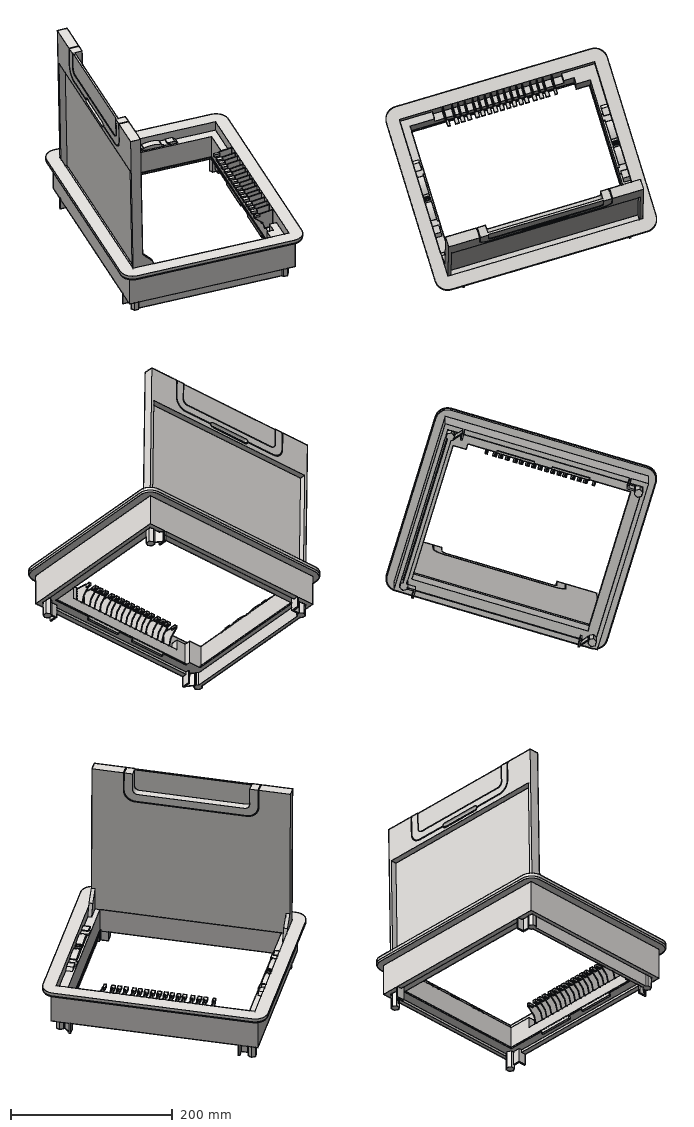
import cadquery as cq
import math


FLANGE_X = 286.0
FLANGE_Y = 241.0
FLANGE_THICK = 6.5
FLANGE_CORNER_R = 16.3
FLANGE_BEVEL_OUT = 1.1
FLANGE_BEVEL_UP = 2.3
BODY_X = 263.0
BODY_Y = 220.2
BODY_BOTTOM = -49.5
MOUTH_X = 252.5
MOUTH_BACK = 103.5
MOUTH_FRONT = -MOUTH_BACK
LEDGE_TOP = -13.0
LEDGE_BOTTOM = -45.8
WINDOW_X = 227.5
WINDOW_FRONT = -91.5
WINDOW_BACK = 92.7
LIP_OUT = 1.5
LIP_THICK = 2.3
CORNER_PAD_X = 97.0
CORNER_PAD_Y = 85.5
TAB_INNER_X = 11.5
TAB_OUTER_X = 60.0
TAB_DEPTH = 3.0

POCKET_X = 167.0
POCKET_FLOOR = -27.5
FIN_OFFSETS = (8.3, 16.3, 24.5, 32.0, 42.3, 51.0, 58.5)
END_FIN_OFFSET = 70.3
FIN_THICK = 1.1
FIN_TOP = -1.7
FIN_TIP_TOP = -4.0
FIN_ELBOW_Y = 90.5
FIN_ELBOW_Z = -19.0
FIN_TIP_Y = 79.2
PAD_LENGTH = 7.5
PAD_WIDTH = 5.0
END_PAD_WIDTH = 3.1
PAD_THICK = 3.5
PAD_TOP = -5.1
PAD_BOTTOM = PAD_TOP - PAD_THICK

CLIP_WIDTH = 8.5
CLIP_END_Y = 50.3
CLIP_BEVEL_Y = 46.0
CLIP_STEP_Y = 36.3
HUMP_OUTER_Y = 28.5
HUMP_INNER_Y = 5.1
CLIP_INNER_Y = 2.5
CLIP_TOP = -9.2
CLIP_STEP_TOP = -10.3
HUMP_TOP = -7.5
CLIP_RIB_Y = 0.5
NUB_WIDTH = 2.3
NUB_LENGTH = 8.3
NUB_Y = 35.2

POST_X = 121.8
POST_Y = 99.0
POST_DIAMETER = 11.0
LEFT_POST_DROP = 19.7
FOOT_DROP = 15.2
FOOT_BOTTOM = BODY_BOTTOM - FOOT_DROP
RAIL_THICK = 4.5
BLADE_X = 107.5
BLADE_THICK = 2.0
BLADE_LENGTH = 11.0
WEB_OUTER_X = 116.5

LID_TILT = 1.0
LID_FRONT_Y = -103.2
LID_X = 252.2
LID_THICK = 13.2
LID_RISE = 194.2
LID_TOP = (LID_RISE - LID_THICK * math.sin(math.radians(LID_TILT))) / math.cos(math.radians(LID_TILT))
PANEL_X = 244.2
PANEL_TOP = 146.0
PANEL_DEPTH = 8.0
EAR_THICK = 5.0
EAR_RISE = 17.2
EAR_NOSE_REACH = 13.0
EAR_NOSE_Z = 3.5
EAR_FOOT_REACH = 19.2

HANDLE_GAP = 1.1
HANDLE_X = 170.0
HANDLE_HEIGHT = 39.7
HANDLE_R = 14.3
CAVITY_X = 148.7
CAVITY_HEIGHT = 29.5
CAVITY_R = 6.5
SKIN_THICK = 2.5
SKIN_SETBACK = 1.0
GRIP_LENGTH = 60.0
GRIP_R = 3.5
OVERCUT = 3.0


def block(x0, x1, y0, y1, z0, z1):
    """Box between two opposite corners."""
    return cq.Workplane("XY").box(x1 - x0, y1 - y0, z1 - z0, centered=False).translate((x0, y0, z0))


def mirrored_pair(shape):
    """A feature together with its mirror image on the other side of X = 0."""
    return shape.union(shape.mirror("YZ"))


def yz_plate(points, x0, thickness):
    """Plate with a (Y, Z) outline, running from x0 toward +X."""
    return cq.Workplane("YZ").polyline(points).close().extrude(thickness).translate((x0, 0, 0))



def flange():
    rim_bottom = -(FLANGE_THICK - FLANGE_BEVEL_UP)
    rim = (cq.Workplane("XY").workplane(offset=rim_bottom).rect(FLANGE_X, FLANGE_Y)
           .extrude(-rim_bottom).edges("|Z").fillet(FLANGE_CORNER_R))
    taper = math.degrees(math.atan2(FLANGE_BEVEL_OUT, FLANGE_BEVEL_UP))
    bevel = rim.faces("<Z").wires().toPending().workplane().extrude(FLANGE_BEVEL_UP, taper=taper, combine=False)
    return rim.union(bevel)


def shell():
    body = block(-BODY_X / 2, BODY_X / 2, -BODY_Y / 2, BODY_Y / 2, BODY_BOTTOM, -FLANGE_THICK)
    mouth = block(-MOUTH_X / 2, MOUTH_X / 2, MOUTH_FRONT, MOUTH_BACK, LEDGE_TOP, OVERCUT)
    underside = block(-MOUTH_X / 2, MOUTH_X / 2, MOUTH_FRONT, MOUTH_BACK, BODY_BOTTOM - OVERCUT, LEDGE_BOTTOM)
    window = block(-WINDOW_X / 2 - LIP_OUT, WINDOW_X / 2 + LIP_OUT, WINDOW_FRONT, WINDOW_BACK + LIP_OUT,
                   LEDGE_BOTTOM + LIP_THICK, OVERCUT)
    lip_window = block(-WINDOW_X / 2, WINDOW_X / 2, WINDOW_FRONT, WINDOW_BACK,
                       LEDGE_BOTTOM - OVERCUT, OVERCUT)
    corner_pad = block(CORNER_PAD_X, WINDOW_X / 2 + LIP_OUT, CORNER_PAD_Y, WINDOW_BACK + LIP_OUT,
                       LEDGE_BOTTOM, LEDGE_TOP)
    pocket = block(-POCKET_X / 2, POCKET_X / 2, WINDOW_BACK - OVERCUT, MOUTH_BACK, POCKET_FLOOR, LEDGE_TOP)
    tab = block(TAB_INNER_X, TAB_OUTER_X, WINDOW_BACK, WINDOW_BACK + TAB_DEPTH,
                LEDGE_BOTTOM - TAB_DEPTH, LEDGE_BOTTOM)
    hollow = body.union(flange()).cut(mouth).cut(underside).cut(window).cut(lip_window)
    return hollow.union(corner_pad).cut(pocket).union(mirrored_pair(tab))


def contact_fin(x, pad_left, pad_right):
    """Upright fin on the pocket floor with a flat contact pad at its tip."""
    outline = [
        (MOUTH_BACK, FIN_TOP),
        (FIN_TIP_Y + PAD_LENGTH, FIN_TIP_TOP),
        (FIN_TIP_Y + PAD_LENGTH, PAD_TOP),
        (FIN_TIP_Y, PAD_TOP),
        (FIN_TIP_Y, PAD_BOTTOM),
        (FIN_ELBOW_Y, FIN_ELBOW_Z),
        (WINDOW_BACK, POCKET_FLOOR),
        (MOUTH_BACK, POCKET_FLOOR),
    ]
    fin = yz_plate(outline, x - FIN_THICK / 2, FIN_THICK)
    pad = block(x - pad_left, x + pad_right, FIN_TIP_Y, FIN_TIP_Y + PAD_LENGTH,
                PAD_BOTTOM, PAD_TOP)
    return fin.union(pad)


def contact_fins():
    half_pad = PAD_WIDTH / 2
    fins = contact_fin(0, half_pad, half_pad)
    for offset in FIN_OFFSETS:
        fins = fins.union(mirrored_pair(contact_fin(offset, half_pad, half_pad)))
    end_fin = contact_fin(END_FIN_OFFSET, END_PAD_WIDTH - FIN_THICK / 2, FIN_THICK / 2)
    return fins.union(mirrored_pair(end_fin))


def side_clip():
    """Bar on the +X ledge: bevelled stepped ends and two humps either side of a thin rib."""
    hump_mid_y = (HUMP_OUTER_Y + HUMP_INNER_Y) / 2
    half_bar = (cq.Workplane("YZ").moveTo(CLIP_END_Y, LEDGE_TOP)
                .lineTo(CLIP_BEVEL_Y, CLIP_TOP)
                .lineTo(CLIP_STEP_Y, CLIP_TOP)
                .lineTo(CLIP_STEP_Y, CLIP_STEP_TOP)
                .lineTo(HUMP_OUTER_Y, CLIP_STEP_TOP)
                .lineTo(HUMP_OUTER_Y, CLIP_TOP)
                .threePointArc((hump_mid_y, HUMP_TOP), (HUMP_INNER_Y, CLIP_TOP))
                .lineTo(HUMP_INNER_Y, CLIP_STEP_TOP)
                .lineTo(CLIP_INNER_Y, CLIP_STEP_TOP)
                .lineTo(CLIP_INNER_Y, LEDGE_TOP)
                .close().extrude(CLIP_WIDTH).translate((MOUTH_X / 2 - CLIP_WIDTH, 0, 0)))
    nub_outer_x = MOUTH_X / 2 - CLIP_WIDTH
    nub = block(nub_outer_x - NUB_WIDTH, nub_outer_x, NUB_Y - NUB_LENGTH / 2, NUB_Y + NUB_LENGTH / 2,
                LEDGE_TOP, CLIP_STEP_TOP)
    half = half_bar.union(nub)
    rib = block(nub_outer_x, MOUTH_X / 2, -CLIP_RIB_Y, CLIP_RIB_Y, LEDGE_TOP, CLIP_TOP)
    return half.union(half.mirror("XZ")).union(rib)


def post(x, y, drop):
    """Hexagonal post, corners pointing along Y, hanging from the ledge."""
    bottom = BODY_BOTTOM - drop
    return (cq.Workplane("XY").polygon(6, POST_DIAMETER).extrude(LEDGE_BOTTOM - bottom)
            .rotate((0, 0, 0), (0, 0, 1), 30).translate((x, y, bottom)))


def blade(side):
    """Thin foot along Y, flush with the -Y face; side is -1 for -X and 1 for +X."""
    front = -BODY_Y / 2
    return (cq.Workplane("XY").rect(BLADE_THICK, BLADE_LENGTH).extrude(LEDGE_BOTTOM - FOOT_BOTTOM)
            .translate((side * BLADE_X, front + BLADE_LENGTH / 2, FOOT_BOTTOM)))


def web(side, inner_y, outer_y):
    """Thin foot running outward from the blade toward the post; it slants if the two Y values differ."""
    inner_x = side * BLADE_X
    outer_x = side * WEB_OUTER_X
    outline = [
        (inner_x, inner_y),
        (outer_x, outer_y),
        (outer_x, outer_y + BLADE_THICK),
        (inner_x, inner_y + BLADE_THICK),
    ]
    return (cq.Workplane("XY").polyline(outline).close().extrude(LEDGE_BOTTOM - FOOT_BOTTOM)
            .translate((0, 0, FOOT_BOTTOM)))


def feet():
    rail = block(POST_X - RAIL_THICK / 2, POST_X + RAIL_THICK / 2, -POST_Y, POST_Y, FOOT_BOTTOM, LEDGE_BOTTOM)
    blade_front = -BODY_Y / 2
    blade_back = blade_front + BLADE_LENGTH
    straight_web = web(1, blade_back - BLADE_THICK, blade_back - BLADE_THICK)
    slanted_web = web(-1, blade_front, blade_back)
    front_feet = blade(-1).union(slanted_web).union(blade(1)).union(straight_web)
    back_feet = front_feet.rotate((0, 0, 0), (0, 0, 1), 180)
    parts = rail.union(front_feet).union(back_feet)
    for y in (-POST_Y, POST_Y):
        parts = parts.union(post(-POST_X, y, LEFT_POST_DROP)).union(post(POST_X, y, FOOT_DROP))
    return parts


def make_frame():
    return shell().union(contact_fins()).union(mirrored_pair(side_clip())).union(feet())



def u_block(width, height, radius, y0, y1):
    """Block reaching down from the lid top, with its two lower corners rounded."""
    return (block(-width / 2, width / 2, y0, y1, LID_TOP - height, LID_TOP)
            .edges("|Y and <Z").fillet(radius))


def grip_scoop():
    """Round-ended finger groove along the joint between lid and handle."""
    straight = GRIP_LENGTH - 2 * GRIP_R
    centre_z = LID_TOP - HANDLE_HEIGHT - HANDLE_GAP / 2
    scoop = cq.Workplane("YZ").circle(GRIP_R).extrude(straight / 2, both=True)
    for end_x in (-straight / 2, straight / 2):
        scoop = scoop.union(cq.Workplane("XY").sphere(GRIP_R).translate((end_x, 0, 0)))
    return scoop.translate((0, 0, centre_z))


def place_on_frame(shape):
    return shape.rotate((0, 0, 0), (1, 0, 0), LID_TILT).translate((0, LID_FRONT_Y, 0))


def make_lid():
    slab = block(-LID_X / 2, LID_X / 2, 0, LID_THICK, LEDGE_TOP, LID_TOP)
    panel = block(-PANEL_X / 2, PANEL_X / 2, 0, PANEL_DEPTH, LEDGE_TOP, PANEL_TOP)
    handle_opening = u_block(HANDLE_X + 2 * HANDLE_GAP, HANDLE_HEIGHT + HANDLE_GAP,
                             HANDLE_R + HANDLE_GAP, 0, LID_THICK)
    ear_outline = [
        (LID_THICK, LEDGE_TOP),
        (LID_THICK, EAR_RISE),
        (LID_THICK + EAR_NOSE_REACH, EAR_NOSE_Z),
        (LID_THICK + EAR_FOOT_REACH, LEDGE_TOP),
    ]
    ear = yz_plate(ear_outline, LID_X / 2 - EAR_THICK, EAR_THICK)
    lid = slab.cut(panel).cut(handle_opening).union(mirrored_pair(ear)).cut(grip_scoop())
    return place_on_frame(lid)


def make_handle():
    outer = u_block(HANDLE_X, HANDLE_HEIGHT, HANDLE_R, 0, LID_THICK)
    cavity = u_block(CAVITY_X, CAVITY_HEIGHT, CAVITY_R, SKIN_SETBACK + SKIN_THICK, LID_THICK)
    setback = u_block(CAVITY_X, CAVITY_HEIGHT, CAVITY_R, 0, SKIN_SETBACK)
    return place_on_frame(outer.cut(cavity).cut(setback).cut(grip_scoop()))


frame = make_frame()
lid = make_lid()
handle = make_handle()

result = cq.Compound.makeCompound([frame.solids().val(), lid.solids().val(), handle.solids().val()])